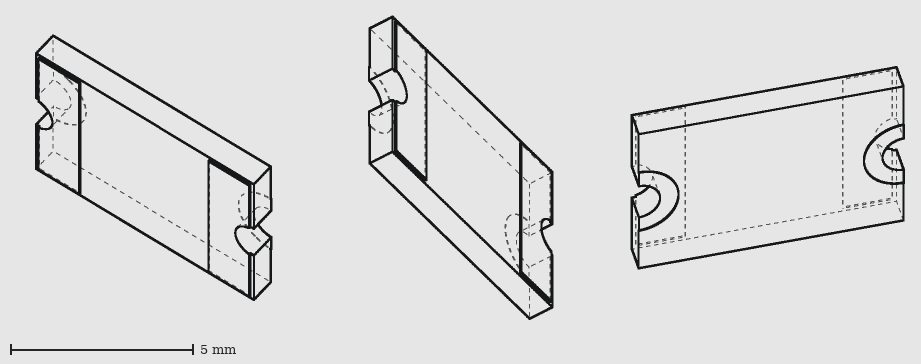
import cadquery as cq

length = 7.5
height = 5.2
total_thickness = 0.85

pad_thickness = 0.05
pad_width = 1.4
pad_height = 4.995
pad_inset = 0.12

notch_radius = 0.6
land_radius = 1.125
land_thickness = 0.02

body_thickness = total_thickness - pad_thickness - land_thickness
front_y = -body_thickness / 2
back_y = body_thickness / 2
pad_center_x = length / 2 - pad_inset - pad_width / 2


def block(size_x, size_z, y_start, thickness, center_x=0):
    """Box centred in Z that grows toward +Y from y_start."""
    return (
        cq.Workplane("XY")
        .box(size_x, thickness, size_z)
        .translate((center_x, y_start + thickness / 2, 0))
    )


def end_cylinder(side, radius, y_start, thickness):
    """Cylinder along Y, centred on one end face of the body."""
    return (
        cq.Workplane("XZ", origin=(side * length / 2, y_start, 0))
        .circle(radius)
        .extrude(-thickness)
    )


body = block(length, height, front_y, body_thickness)
result = body

for side in (-1, 1):
    pad = block(pad_width, pad_height, front_y - pad_thickness, pad_thickness, side * pad_center_x)

    land_bounds = block(length, height, back_y, land_thickness)
    land = end_cylinder(side, land_radius, back_y, land_thickness).intersect(land_bounds)

    notch = end_cylinder(side, notch_radius, front_y - pad_thickness, total_thickness)
    result = result.union(pad).union(land).cut(notch)